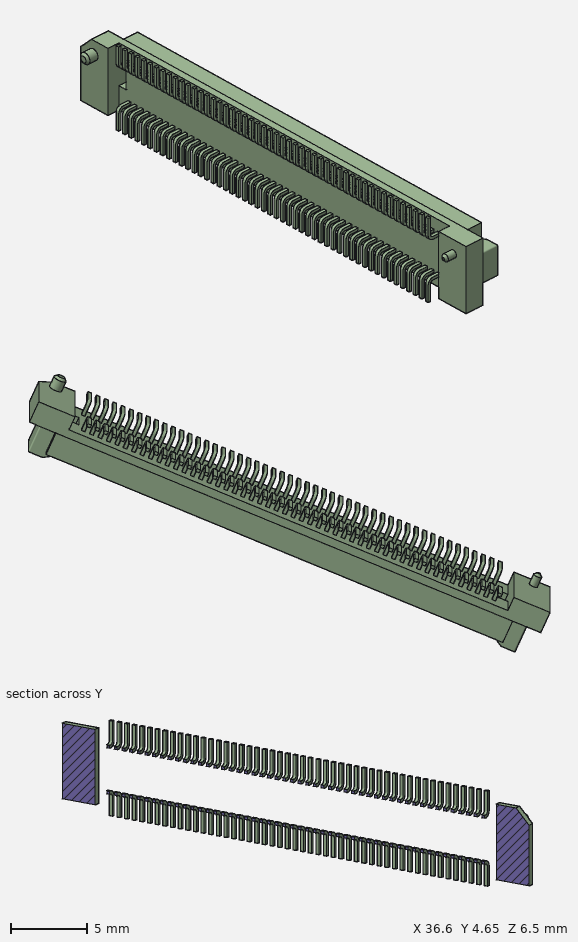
import cadquery as cq

OVERALL_LENGTH = 36.6
BODY_HEIGHT = 5.2
BASE_THICKNESS = 0.55
END_BLOCK_LENGTH = 2.6
END_BLOCK_DEPTH = 1.55
END_BLOCK_CHAMFER = 1.02

HOUSING_LENGTH = 32.7
HOUSING_HEIGHT = 4.32
HOUSING_DEPTH = 1.75

SLOT_LENGTH = 0.7
SLOT_HEIGHT = 1.43

LATCH_OUTER_X = 17.42
LATCH_TOP_Z = 0.7
LATCH_BOTTOM_Z = -1.7
LATCH_DEPTH = 2.2
LATCH_RAMP_LENGTH = 0.7
LATCH_RAMP_DEPTH = 0.45
LATCH_EDGE_RADIUS = 0.1
LATCH_FLARE = 0.22

PEG_X = 17.1
PEG_Z = 1.5
PEG_LENGTH = 0.9
PEG_TIP_LENGTH = 0.2
PEG_TIP_INSET = 0.2
LARGE_PEG_DIAMETER = 0.88
SMALL_PEG_DIAMETER = 0.6

CONTACTS_PER_ROW = 50
CONTACT_ROW_LENGTH = 29.4
CONTACT_WIDTH = 0.25
CONTACT_THICKNESS = 0.22
CONTACT_BEND_RADIUS = 0.22
CONTACT_INNER_Z = 1.45
CONTACT_TIP_SPAN = 6.5
CONTACT_FOOT_Y = -1.65

OVERLAP = 0.2

END_X = OVERALL_LENGTH / 2
BLOCK_INNER_X = END_X - END_BLOCK_LENGTH
CONTACT_PITCH = CONTACT_ROW_LENGTH / (CONTACTS_PER_ROW - 1)


def box(x_range, y_range, z_range):
    """Axis-aligned box between the given limits."""
    size = [high - low for low, high in (x_range, y_range, z_range)]
    corner = (x_range[0], y_range[0], z_range[0])
    return cq.Workplane("XY").box(*size, centered=False).translate(corner)


def mirrored_pair(feature):
    """The feature at the +X end together with its copy at the -X end."""
    return feature.union(feature.mirror("YZ"))


def make_body():
    """Base bar with a thick block at each end and the housing behind it."""
    half_height = BODY_HEIGHT / 2
    half_housing = HOUSING_HEIGHT / 2
    body = box((-END_X, END_X), (-BASE_THICKNESS, 0), (-half_height, half_height))
    block = box((BLOCK_INNER_X, END_X), (-END_BLOCK_DEPTH, 0), (-half_height, half_height))
    body = body.union(mirrored_pair(block))
    body = body.edges("|Y and <X and >Z").chamfer(END_BLOCK_CHAMFER)
    housing = box(
        (-HOUSING_LENGTH / 2, HOUSING_LENGTH / 2),
        (-OVERLAP, HOUSING_DEPTH),
        (-half_housing, half_housing),
    )
    return body.union(housing)


def make_slots():
    """Openings through the full depth beside the two end blocks."""
    slot = box(
        (BLOCK_INNER_X - SLOT_LENGTH, BLOCK_INNER_X),
        (-END_BLOCK_DEPTH, LATCH_DEPTH),
        (-SLOT_HEIGHT / 2, SLOT_HEIGHT / 2),
    )
    return mirrored_pair(slot)


def make_latches():
    """Latch posts with a ramped inner tip, rounded outer edges and a flared root."""
    height = LATCH_TOP_Z - LATCH_BOTTOM_Z
    post = (
        cq.Workplane("XY", origin=(0, 0, LATCH_BOTTOM_Z))
        .moveTo(BLOCK_INNER_X, -OVERLAP)
        .lineTo(LATCH_OUTER_X, -OVERLAP)
        .lineTo(LATCH_OUTER_X, LATCH_DEPTH)
        .lineTo(BLOCK_INNER_X + LATCH_RAMP_LENGTH, LATCH_DEPTH)
        .lineTo(BLOCK_INNER_X, LATCH_DEPTH - LATCH_RAMP_DEPTH)
        .close()
        .extrude(height)
        .edges("|Y and >X")
        .fillet(LATCH_EDGE_RADIUS)
    )
    length = LATCH_OUTER_X - BLOCK_INNER_X
    root_center = (BLOCK_INNER_X + length / 2, 0, LATCH_BOTTOM_Z + height / 2)
    flare = (
        cq.Workplane("XZ", origin=root_center)
        .rect(length + 2 * LATCH_FLARE, height + 2 * LATCH_FLARE)
        .workplane(offset=-LATCH_FLARE)
        .rect(length, height)
        .loft()
    )
    return mirrored_pair(post.union(flare))


def make_peg(x, diameter):
    """Locating peg with a tapered tip on the mounting face of an end block."""
    return (
        cq.Workplane("XZ", origin=(x, OVERLAP - END_BLOCK_DEPTH, PEG_Z))
        .circle(diameter / 2)
        .extrude(OVERLAP + PEG_LENGTH)
        .faces("<Y")
        .chamfer(PEG_TIP_LENGTH, PEG_TIP_INSET)
    )


def make_contact_row():
    """Upper row of bent contacts, each with a leg out of the base and an upright foot."""
    foot_z = CONTACT_TIP_SPAN / 2
    leg_outer_z = CONTACT_INNER_Z + CONTACT_THICKNESS
    foot_back_y = CONTACT_FOOT_Y + CONTACT_THICKNESS
    outer_radius = CONTACT_BEND_RADIUS + CONTACT_THICKNESS
    root_y = OVERLAP - BASE_THICKNESS
    bend_y = CONTACT_FOOT_Y + outer_radius
    bend_z = CONTACT_INNER_Z + outer_radius
    contact = (
        cq.Workplane("YZ")
        .moveTo(root_y, CONTACT_INNER_Z)
        .lineTo(bend_y, CONTACT_INNER_Z)
        .radiusArc((CONTACT_FOOT_Y, bend_z), outer_radius)
        .lineTo(CONTACT_FOOT_Y, foot_z)
        .lineTo(foot_back_y, foot_z)
        .lineTo(foot_back_y, bend_z)
        .radiusArc((bend_y, leg_outer_z), -CONTACT_BEND_RADIUS)
        .lineTo(root_y, leg_outer_z)
        .close()
        .extrude(CONTACT_WIDTH / 2, both=True)
    )
    first_x = -CONTACT_ROW_LENGTH / 2
    contacts = [
        contact.val().translate(cq.Vector(first_x + index * CONTACT_PITCH, 0, 0))
        for index in range(CONTACTS_PER_ROW)
    ]
    return cq.Workplane(cq.Compound.makeCompound(contacts))


upper_row = make_contact_row()
result = (
    make_body()
    .union(make_latches())
    .cut(make_slots())
    .union(make_peg(-PEG_X, LARGE_PEG_DIAMETER))
    .union(make_peg(PEG_X, SMALL_PEG_DIAMETER))
    .union(upper_row)
    .union(upper_row.mirror("XY"))
)